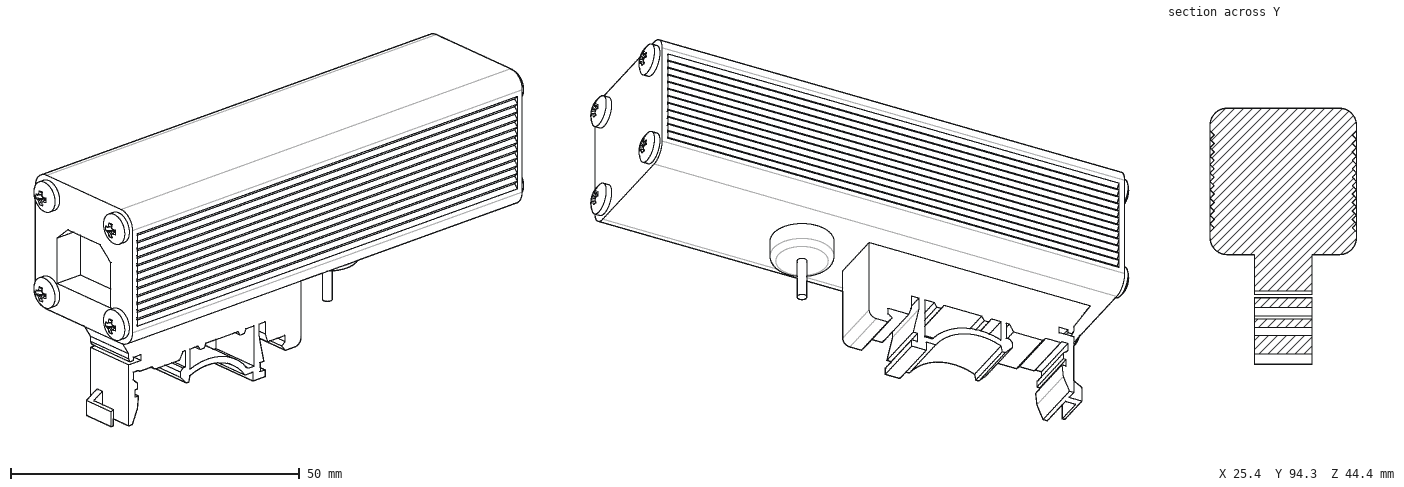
import cadquery as cq
import math

CASE_WIDTH = 25.4
CASE_LENGTH = 90.17
CASE_EDGE_RADIUS = 3.0
OVERALL_HEIGHT = 44.4

GROOVE_COUNT = 12
GROOVE_PITCH = 1.461
GROOVE_END_MARGIN = 1.1

WINDOW_WIDTH = 14.0
WINDOW_TOP = 4.2
WINDOW_BOTTOM = -6.9
WINDOW_CHAMFER = (2.8, 2.5)
WINDOW_DEPTH = 5.4

SCREW_OFFSET = 9.1
SCREW_RADIUS = 2.78
SCREW_RIM_HEIGHT = 1.06
SCREW_HEIGHT = 2.13
CROSS_ARM_LENGTH = 1.55
CROSS_ARM_WIDTH = 0.8
CROSS_DEPTH = 1.4
CROSS_CORE_TOP_RADIUS = 0.8
CROSS_CORE_BOTTOM_RADIUS = 0.3

BOSS_Y = 11.25
BOSS_RADIUS = 5.55
BOSS_HEIGHT = 4.1
BOSS_EDGE_RADIUS = 1.0
PIN_RADIUS = 0.85
PIN_LENGTH = 7.5

CLIP_WIDTH = 10.0
CLIP_BACK_Y = 0.75
CLIP_FRONT_Y = -42.4
CLIP_CEILING_Z = -21.3
JAW_FLOOR_Z = -25.25
JAW_BOTTOM_Z = -28.1
JAW_GAP_Y = -7.55
JAW_MOUTH_Y = -2.95
JAW_CORNER_RADIUS = 1.4
LATCH_FRONT_Y = -39.15
LATCH_BACK_Y = -38.0
SLOT_FLOOR_Z = -20.1
SLOT_MOUTH_Z = -19.6
SLOT_CHAMFER_TOP_Z = -18.95
SLOT_END = (-36.3, -19.0)
SPRING_LEG_FRONT_Y = -10.1
HOOK_BACK_Y = -24.95
STRAP_CENTRE = (-20.9, -36.2)
STRAP_OUTER_RADIUS = 11.8
STRAP_INNER_RADIUS = 10.65
STRAP_FOOT_TOP_Z = -28.95
STRAP_FOOT_BOTTOM_Z = -30.0
STRAP_BEND_RADIUS = 0.5
BUMP_POSITIONS = (-12.9, -22.15)
BUMP_BASE_WIDTH = 1.9
BUMP_TIP_WIDTH = 0.9
BUMP_HEIGHT = 0.8

TAB_WIDTH = 6.5
TAB_REACH = 2.5
TAB_OUTER_Z = -28.85
TAB_LIP_THICKNESS = 0.5
TAB_RIB_TOP_Z = -27.4
TAB_RIB_WIDTH = 1.4

HALF_WIDTH = CASE_WIDTH / 2
HALF_LENGTH = CASE_LENGTH / 2
CASE_BOTTOM = -HALF_WIDTH
CLIP_BOTTOM = HALF_WIDTH - OVERALL_HEIGHT

OVERLAP = 0.5


def side_plate(points, width=CLIP_WIDTH, start_x=-CLIP_WIDTH / 2):
    """Plate with an outline of (y, z) points, running along X from start_x."""
    return cq.Workplane("YZ").workplane(offset=start_x).polyline(points).close().extrude(width)


def make_case():
    """Square bar with rounded long edges."""
    blank = cq.Workplane("XY").box(CASE_WIDTH, CASE_LENGTH, CASE_WIDTH)
    return blank.edges("|Y").fillet(CASE_EDGE_RADIUS)


def make_side_grooves():
    """45 degree V-grooves for both sides, side by side and closed at each end."""
    depth = GROOVE_PITCH / 2
    top = GROOVE_COUNT * GROOVE_PITCH / 2
    length = CASE_LENGTH - 2 * GROOVE_END_MARGIN
    start = cq.Workplane("XZ", origin=(0, length / 2, 0))
    tools = cq.Workplane("XY")
    for side in (-1, 1):
        face_x = side * HALF_WIDTH
        outline = [(face_x + side * OVERLAP, -top), (face_x + side * OVERLAP, top), (face_x, top)]
        for index in range(GROOVE_COUNT):
            groove_top = top - index * GROOVE_PITCH
            outline.append((face_x - side * depth, groove_top - GROOVE_PITCH / 2))
            outline.append((face_x, groove_top - GROOVE_PITCH))
        tools = tools.add(start.polyline(outline).close().extrude(length))
    return tools.combine()


def make_window():
    """Pocket with two chamfered upper corners, cut from the front end."""
    half = WINDOW_WIDTH / 2
    chamfer_x, chamfer_z = WINDOW_CHAMFER
    outline = [
        (-half, WINDOW_BOTTOM),
        (half, WINDOW_BOTTOM),
        (half, WINDOW_TOP - chamfer_z),
        (half - chamfer_x, WINDOW_TOP),
        (chamfer_x - half, WINDOW_TOP),
        (-half, WINDOW_TOP - chamfer_z),
    ]
    front = cq.Workplane("XZ", origin=(0, -HALF_LENGTH, 0))
    return front.polyline(outline).close().extrude(-WINDOW_DEPTH)


def make_screw():
    """Domed screw head standing on the XY plane, with a tapered cross recess."""
    dome_rise = SCREW_HEIGHT - SCREW_RIM_HEIGHT
    dome_radius = (SCREW_RADIUS**2 + dome_rise**2) / (2 * dome_rise)
    middle_radius = SCREW_RADIUS / 2
    middle_height = SCREW_HEIGHT - dome_radius + math.sqrt(dome_radius**2 - middle_radius**2)
    head = (
        cq.Workplane("XZ")
        .moveTo(0, -OVERLAP)
        .lineTo(SCREW_RADIUS, -OVERLAP)
        .lineTo(SCREW_RADIUS, SCREW_RIM_HEIGHT)
        .threePointArc((middle_radius, middle_height), (0, SCREW_HEIGHT))
        .close()
        .revolve(360, (0, 0, 0), (0, 1, 0))
    )
    recess_bottom = SCREW_HEIGHT - CROSS_DEPTH
    arm_outline = [
        (-CROSS_ARM_LENGTH, SCREW_HEIGHT),
        (CROSS_ARM_LENGTH, SCREW_HEIGHT),
        (0, recess_bottom),
    ]
    arm = cq.Workplane("XZ").polyline(arm_outline).close().extrude(CROSS_ARM_WIDTH / 2, both=True)
    core_outline = [
        (0, recess_bottom),
        (CROSS_CORE_BOTTOM_RADIUS, recess_bottom),
        (CROSS_CORE_TOP_RADIUS, SCREW_HEIGHT),
        (0, SCREW_HEIGHT),
    ]
    core = cq.Workplane("XZ").polyline(core_outline).close().revolve(360, (0, 0, 0), (0, 1, 0))
    return head.cut(arm).cut(arm.rotate((0, 0, 0), (0, 0, 1), 90)).cut(core)


def add_screws(body):
    """Four screw heads on each end of the case."""
    front_screw = make_screw().rotate((0, 0, 0), (1, 0, 0), 90).translate((0, -HALF_LENGTH, 0))
    for screw in (front_screw, front_screw.mirror("XZ")):
        for x in (-SCREW_OFFSET, SCREW_OFFSET):
            for z in (-SCREW_OFFSET, SCREW_OFFSET):
                body = body.union(screw.translate((x, 0, z)))
    return body


def make_boss():
    """Round boss with a rounded lower rim and a thin pin."""
    base = cq.Workplane("XY", origin=(0, BOSS_Y, CASE_BOTTOM + OVERLAP))
    boss = base.circle(BOSS_RADIUS).extrude(-(BOSS_HEIGHT + OVERLAP))
    boss = boss.faces("<Z").edges().fillet(BOSS_EDGE_RADIUS)
    pin = base.circle(PIN_RADIUS).extrude(-(OVERLAP + BOSS_HEIGHT + PIN_LENGTH))
    return boss.union(pin)


def make_clip_plate():
    """Main clip block: rail jaw at the back, sloped front and a stepped underside."""
    plate = side_plate([
        (CLIP_BACK_Y, CASE_BOTTOM + OVERLAP),
        (CLIP_BACK_Y, JAW_BOTTOM_Z),
        (-2.9, JAW_BOTTOM_Z),
        (-3.75, -27.0),
        (JAW_MOUTH_Y, -26.4),
        (JAW_MOUTH_Y, JAW_FLOOR_Z),
        (-7.0, JAW_FLOOR_Z),
        (JAW_GAP_Y, -23.6),
        (JAW_GAP_Y, CLIP_CEILING_Z),
        (-26.6, CLIP_CEILING_Z),
        (-27.4, -22.7),
        (-33.1, -22.7),
        (-33.7, -22.1),
        (-36.6, -22.1),
        (-36.8, -21.85),
        (LATCH_FRONT_Y, -21.85),
        (LATCH_FRONT_Y, -18.0),
        (CLIP_FRONT_Y, CASE_BOTTOM),
        (CLIP_FRONT_Y, CASE_BOTTOM + OVERLAP),
    ])
    jaw_corner = cq.selectors.NearestToPointSelector((0, CLIP_BACK_Y, JAW_BOTTOM_Z))
    return plate.edges("|X").edges(jaw_corner).fillet(JAW_CORNER_RADIUS)


def make_latch_slot():
    """Stepped slit with a chamfered mouth that lets the latch leg flex."""
    end_y, roof_z = SLOT_END
    return side_plate([
        (LATCH_FRONT_Y - OVERLAP, SLOT_FLOOR_Z),
        (end_y, SLOT_FLOOR_Z),
        (end_y, roof_z),
        (LATCH_BACK_Y, roof_z),
        (LATCH_BACK_Y, SLOT_MOUTH_Z),
        (-38.9, SLOT_MOUTH_Z),
        (LATCH_FRONT_Y, SLOT_CHAMFER_TOP_Z),
        (LATCH_FRONT_Y - OVERLAP, SLOT_CHAMFER_TOP_Z),
    ])


def make_latch_leg():
    """Front leg with two small teeth facing the rail."""
    return side_plate([
        (LATCH_FRONT_Y, CLIP_CEILING_Z + OVERLAP),
        (LATCH_FRONT_Y, CLIP_BOTTOM),
        (-38.3, CLIP_BOTTOM),
        (-37.1, -29.0),
        (-36.85, -26.65),
        (-37.65, -26.65),
        (-37.65, -25.3),
        (-37.1, -25.3),
        (-37.1, -24.15),
        (LATCH_BACK_Y, -23.3),
        (LATCH_BACK_Y, CLIP_CEILING_Z + OVERLAP),
    ])


def make_spring_leg():
    """Middle leg that widens downwards and ends in a foot."""
    return side_plate([
        (SPRING_LEG_FRONT_Y, CLIP_CEILING_Z + OVERLAP),
        (SPRING_LEG_FRONT_Y, STRAP_FOOT_BOTTOM_Z),
        (-10.4, STRAP_FOOT_BOTTOM_Z),
        (-10.4, CLIP_BOTTOM),
        (JAW_GAP_Y, CLIP_BOTTOM),
        (JAW_GAP_Y, -30.4),
        (-8.7, -30.4),
        (-8.7, -28.7),
        (-7.85, -28.7),
        (-8.95, -23.6),
        (-8.95, CLIP_CEILING_Z + OVERLAP),
    ])


def make_hook():
    """Short leg with a barbed tip where the strap ends."""
    return side_plate([
        (HOOK_BACK_Y, CLIP_CEILING_Z + OVERLAP),
        (HOOK_BACK_Y, -26.3),
        (-25.2, -27.5),
        (-25.8, -27.5),
        (-27.2, -26.0),
        (-27.2, -25.0),
        (-26.6, -24.4),
        (-26.05, -24.4),
        (-26.05, CLIP_CEILING_Z + OVERLAP),
    ])


def strap_height(radius, y):
    """Height of the strap arc of the given radius at y."""
    centre_y, centre_z = STRAP_CENTRE
    return centre_z + math.sqrt(radius**2 - (y - centre_y) ** 2)


def make_strap():
    """Arched spring strap from the foot of the spring leg to the hook."""
    centre_y, centre_z = STRAP_CENTRE
    hook_y = HOOK_BACK_Y - OVERLAP
    leg_y = SPRING_LEG_FRONT_Y + OVERLAP
    outer_drop = STRAP_FOOT_TOP_Z - centre_z
    inner_drop = STRAP_FOOT_BOTTOM_Z - centre_z
    outer_y = centre_y + math.sqrt(STRAP_OUTER_RADIUS**2 - outer_drop**2)
    inner_y = centre_y + math.sqrt(STRAP_INNER_RADIUS**2 - inner_drop**2)
    outer_end = (hook_y, strap_height(STRAP_OUTER_RADIUS, hook_y))
    inner_end = (hook_y, strap_height(STRAP_INNER_RADIUS, hook_y))
    strap = (
        cq.Workplane("YZ", origin=(-CLIP_WIDTH / 2, 0, 0))
        .moveTo(leg_y, STRAP_FOOT_TOP_Z)
        .lineTo(outer_y, STRAP_FOOT_TOP_Z)
        .threePointArc((centre_y, centre_z + STRAP_OUTER_RADIUS), outer_end)
        .lineTo(*inner_end)
        .threePointArc((centre_y, centre_z + STRAP_INNER_RADIUS), (inner_y, STRAP_FOOT_BOTTOM_Z))
        .lineTo(leg_y, STRAP_FOOT_BOTTOM_Z)
        .close()
        .extrude(CLIP_WIDTH)
    )
    upper_bend = cq.selectors.NearestToPointSelector((0, outer_y, STRAP_FOOT_TOP_Z))
    return strap.edges("|X").edges(upper_bend).fillet(STRAP_BEND_RADIUS)


def make_bump(y):
    """Small tapered ridge under the clip block."""
    return side_plate([
        (y + BUMP_BASE_WIDTH / 2, CLIP_CEILING_Z),
        (y + BUMP_TIP_WIDTH / 2, CLIP_CEILING_Z - BUMP_HEIGHT),
        (y - BUMP_TIP_WIDTH / 2, CLIP_CEILING_Z - BUMP_HEIGHT),
        (y - BUMP_BASE_WIDTH / 2, CLIP_CEILING_Z),
    ])


def make_tab():
    """Wedge-topped thumb tab: a rib beside the leg carrying a lip with a gap behind it."""
    outer_y = LATCH_FRONT_Y - TAB_REACH
    outline = [
        (LATCH_FRONT_Y, CLIP_BOTTOM),
        (LATCH_FRONT_Y, TAB_RIB_TOP_Z),
        (outer_y, TAB_OUTER_Z),
        (outer_y, CLIP_BOTTOM),
    ]
    wedge = side_plate(outline, TAB_WIDTH, -TAB_WIDTH / 2)
    gap = cq.Workplane("XY").box(
        TAB_WIDTH - TAB_RIB_WIDTH,
        TAB_REACH - TAB_LIP_THICKNESS,
        TAB_RIB_TOP_Z - CLIP_BOTTOM,
        centered=False,
    )
    return wedge.cut(gap.translate((TAB_RIB_WIDTH - TAB_WIDTH / 2, outer_y + TAB_LIP_THICKNESS, CLIP_BOTTOM)))


def make_clip():
    """Complete rail clip."""
    clip = make_clip_plate().union(make_latch_leg()).cut(make_latch_slot())
    clip = clip.union(make_spring_leg()).union(make_hook()).union(make_strap())
    for y in BUMP_POSITIONS:
        clip = clip.union(make_bump(y))
    return clip.union(make_tab())


case = make_case().cut(make_side_grooves()).cut(make_window())
result = add_screws(case).union(make_boss()).union(make_clip())